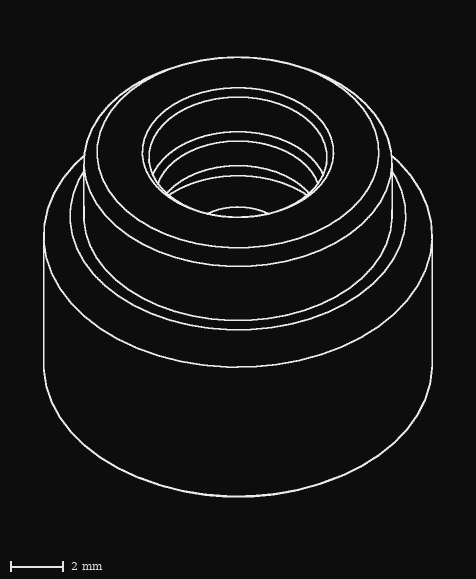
import cadquery as cq

body_diameter = 14.73
total_height = 11.43
shoulder_height = 8.15
boss_diameter = 11.68
shoulder_chamfer = 1.0
end_chamfer = 0.5

entry_diameter = 6.75
entry_chamfer = 0.25
entry_depth = 2.03
inner_diameter = entry_diameter - 2 * entry_chamfer
groove_diameter = 7.4
groove_top_depth = 3.55
socket_depth = 4.6

through_diameter = 3.89


def cylinder(diameter, bottom, top):
    """Cylinder on the Z axis between two heights."""
    return cq.Workplane("XY").workplane(offset=bottom).circle(diameter / 2).extrude(top - bottom)


def make_body():
    """Outer shape: chamfered body with a smaller chamfered boss on top."""
    body = cylinder(body_diameter, 0, shoulder_height)
    body = body.faces(">Z").chamfer(shoulder_chamfer)
    body = body.faces("<Z").chamfer(end_chamfer)
    boss = cylinder(boss_diameter, shoulder_height, total_height)
    boss = boss.faces(">Z").chamfer(end_chamfer)
    return body.union(boss)


def make_bore():
    """Everything removed along the axis: entry bore, inner bore, groove and through hole."""
    entry_radius = entry_diameter / 2
    inner_radius = inner_diameter / 2
    entry_bottom = total_height - entry_depth
    socket_floor = total_height - socket_depth
    groove_top = total_height - groove_top_depth

    socket = (
        cq.Workplane("XZ")
        .moveTo(0, total_height)
        .lineTo(entry_radius + entry_chamfer, total_height)
        .lineTo(entry_radius, total_height - entry_chamfer)
        .lineTo(entry_radius, entry_bottom)
        .lineTo(inner_radius, entry_bottom - entry_chamfer)
        .lineTo(inner_radius, groove_top)
        .lineTo(groove_diameter / 2, groove_top)
        .lineTo(groove_diameter / 2, socket_floor)
        .lineTo(0, socket_floor)
        .close()
        .revolve(360, (0, 0, 0), (0, 1, 0))
    )
    return socket.union(cylinder(through_diameter, 0, socket_floor))


result = make_body().cut(make_bore())